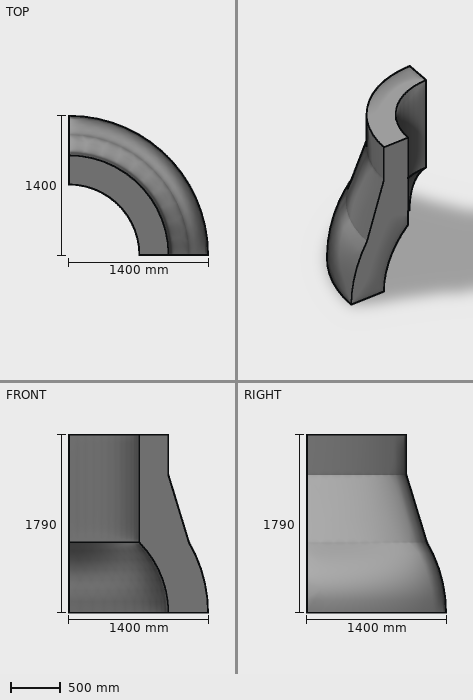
import cadquery as cq
import math

total_height = 1790.0
inner_sphere_radius = 1000.0
outer_sphere_radius = 1400.0
neck_radius = 1000.0
neck_bottom_z = 1387.0
sweep_angle = 90.0

bore_radius = inner_sphere_radius * math.cos(math.radians(45))
junction_z = math.sqrt(inner_sphere_radius**2 - bore_radius**2)
cone_base_radius = math.sqrt(outer_sphere_radius**2 - junction_z**2)


def arc_middle(sphere_radius, end_z):
    """Point halfway along a sphere's profile between Z = 0 and end_z."""
    half_angle = math.asin(end_z / sphere_radius) / 2
    return (sphere_radius * math.cos(half_angle), sphere_radius * math.sin(half_angle))


wall_section = (
    cq.Workplane("XZ")
    .moveTo(inner_sphere_radius, 0)
    .lineTo(outer_sphere_radius, 0)
    .threePointArc(arc_middle(outer_sphere_radius, junction_z), (cone_base_radius, junction_z))
    .lineTo(neck_radius, neck_bottom_z)
    .lineTo(neck_radius, total_height)
    .lineTo(bore_radius, total_height)
    .lineTo(bore_radius, junction_z)
    .threePointArc(arc_middle(inner_sphere_radius, junction_z), (inner_sphere_radius, 0))
    .close()
)

axis_start = (0, 0, 0)
axis_end = (0, 1, 0)
result = wall_section.revolve(sweep_angle, axis_start, axis_end)